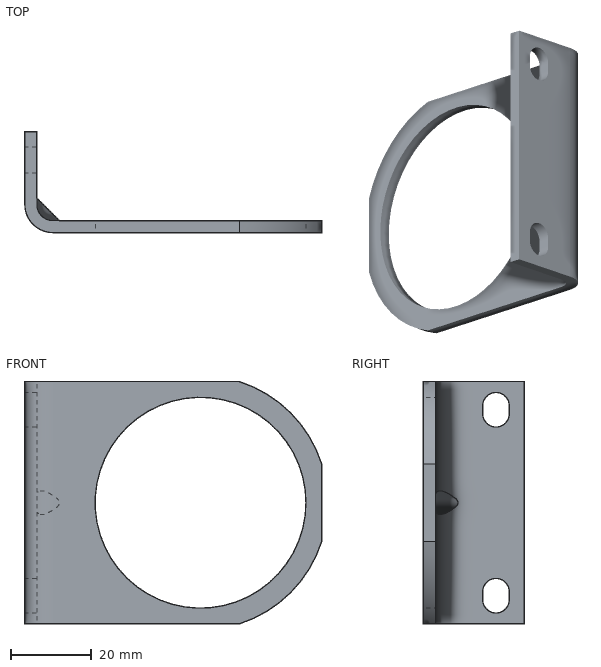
import cadquery as cq
import math

length = 73.5
flange_depth = 25.0
height = 60.0
thickness = 3.0

inner_bend_radius = 4.0
outer_bend_radius = inner_bend_radius + thickness

opening_diameter = 52.1
opening_x = 43.5
end_radius = 31.5

slot_width = 6.5
slot_length = 8.5
slot_edge_distance = 7.0

rib_leg = 5.6
rib_flank_angle = 45.0
rib_ridge_radius = 1.5

overlap = thickness / 2


def bent_sheet():
    """L-shaped sheet with a rounded bend, centred on Z = 0."""
    profile = (
        cq.Workplane("XY")
        .moveTo(0, flange_depth)
        .lineTo(0, outer_bend_radius)
        .radiusArc((outer_bend_radius, 0), -outer_bend_radius)
        .lineTo(length, 0)
        .lineTo(length, thickness)
        .lineTo(outer_bend_radius, thickness)
        .radiusArc((thickness, outer_bend_radius), inner_bend_radius)
        .lineTo(thickness, flange_depth)
        .close()
    )
    return profile.extrude(height / 2, both=True)


def plate_cylinder(radius):
    """Cylinder along Y through the main plate, on the opening axis."""
    return (
        cq.Workplane("XZ", origin=(opening_x, 0, 0))
        .circle(radius)
        .extrude(-flange_depth)
    )


def end_envelope():
    """Everything left of the opening axis, plus the disc that rounds the plate end."""
    left_block = cq.Workplane("XY").box(
        opening_x, flange_depth, height, centered=(False, False, True)
    )
    return left_block.union(plate_cylinder(end_radius))


def mounting_slots():
    """Two slots through the flange, one near the top and one near the bottom."""
    slot_y = flange_depth - slot_edge_distance
    slot_z = height / 2 - slot_edge_distance
    return (
        cq.Workplane("YZ")
        .pushPoints([(slot_y, slot_z), (slot_y, -slot_z)])
        .slot2D(slot_length, slot_width, 90)
        .extrude(thickness)
    )


def bend_rib():
    """Rib with two flat flanks and a rounded ridge, running diagonally across the bend."""
    flank = math.radians(rib_flank_angle)
    ridge_height = rib_leg / math.sqrt(2)
    ridge_centre = ridge_height - rib_ridge_radius
    tangent_height = ridge_centre + rib_ridge_radius * math.sin(flank)
    tangent_half_width = rib_ridge_radius * math.cos(flank)
    root_height = inner_bend_radius * (math.sqrt(2) - 1) - overlap
    root_half_width = tangent_half_width + (tangent_height - root_height) * math.tan(flank)

    section = cq.Plane(origin=(thickness, thickness, 0), xDir=(1, 1, 0), normal=(1, -1, 0))
    prism = (
        cq.Workplane(section)
        .moveTo(root_height, -root_half_width)
        .lineTo(tangent_height, -tangent_half_width)
        .threePointArc((ridge_height, 0), (tangent_height, tangent_half_width))
        .lineTo(root_height, root_half_width)
        .close()
        .extrude(rib_leg, both=True)
    )
    root = thickness - overlap
    corner = cq.Workplane("XY").box(
        length, flange_depth, height, centered=(False, False, True)
    ).translate((root, root, 0))
    return prism.intersect(corner)


result = (
    bent_sheet()
    .intersect(end_envelope())
    .cut(plate_cylinder(opening_diameter / 2))
    .cut(mounting_slots())
    .union(bend_rib())
)